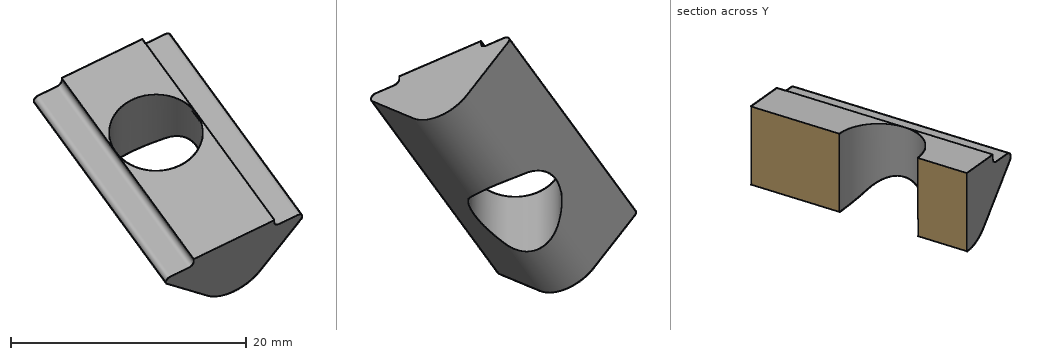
import cadquery as cq
import math

length = 22.0
width = 13.5
height = 7.57
rib_width = 7.99
rib_height = 0.9
root_radius = 0.5
edge_radius = 0.5
flank_angle = math.radians(49.0)
hole_diameter = 7.96
hole_x = 9.0

half_width = width / 2
half_rib = rib_width / 2
shoulder_z = height - rib_height
edge_center_y = half_width - edge_radius
edge_center_z = shoulder_z - edge_radius

normal_y = math.sin(flank_angle)
normal_z = -math.cos(flank_angle)

flank_distance = edge_center_y * normal_y + edge_center_z * normal_z + edge_radius
belly_radius = flank_distance / (1 + normal_z)

edge_end = (edge_center_y + edge_radius * normal_y, edge_center_z + edge_radius * normal_z)
edge_middle = (half_width, edge_center_z)
belly_end = (belly_radius * normal_y, belly_radius * (1 + normal_z))

root_offset = root_radius * (1 - math.sqrt(0.5))
root_middle = (half_rib + root_offset, shoulder_z + root_offset)


def mirrored(point):
    """Reflect a cross-section point about the centre plane."""
    return (-point[0], point[1])


def make_body():
    """Extrude the T-nut cross-section along X."""
    return (
        cq.Workplane("YZ")
        .moveTo(-half_rib, height)
        .lineTo(half_rib, height)
        .lineTo(half_rib, shoulder_z + root_radius)
        .threePointArc(root_middle, (half_rib + root_radius, shoulder_z))
        .lineTo(edge_center_y, shoulder_z)
        .threePointArc(edge_middle, edge_end)
        .lineTo(*belly_end)
        .threePointArc((0, 0), mirrored(belly_end))
        .lineTo(*mirrored(edge_end))
        .threePointArc(mirrored(edge_middle), (-edge_center_y, shoulder_z))
        .lineTo(-half_rib - root_radius, shoulder_z)
        .threePointArc(mirrored(root_middle), (-half_rib, shoulder_z + root_radius))
        .close()
        .extrude(length)
    )


def make_hole():
    """Vertical cylinder that passes through the full height."""
    return cq.Workplane("XY").center(hole_x, 0).circle(hole_diameter / 2).extrude(height)


result = make_body().cut(make_hole())